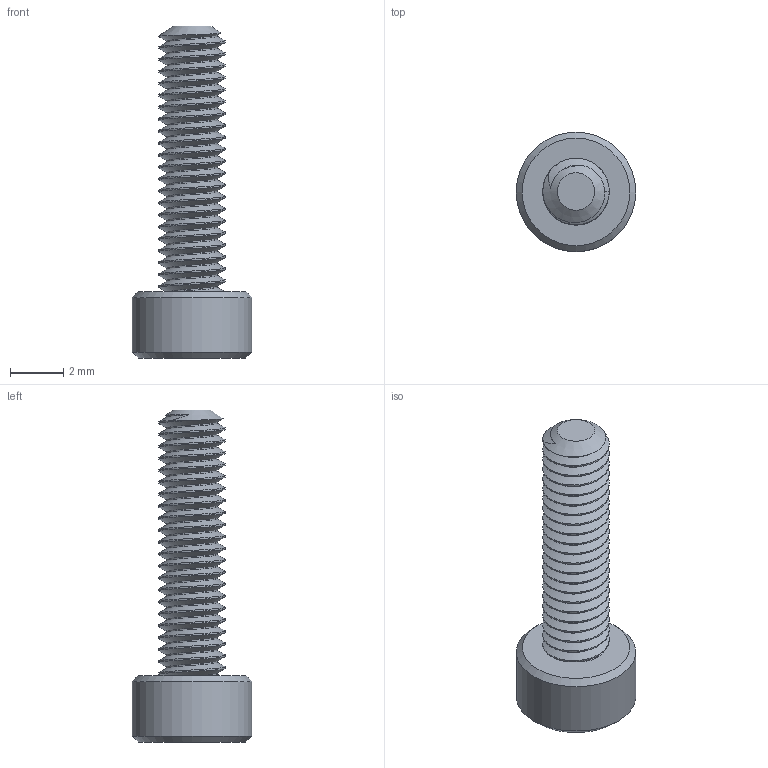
import cadquery as cq
import math

head_diameter = 4.5
head_height = 2.5
head_chamfer = 0.225

thread_diameter = 2.5
thread_length = 10.0
pitch = 0.45
root_diameter = 1.92
crest_flat = pitch / 8
half_flank_angle = math.radians(30)

tip_diameter = 1.41
tip_chamfer_angle = math.radians(35)

groove_phase = 0.185
overrun_turns = 1
cutter_clearance = 0.02


def make_head():
    head = cq.Workplane("XY").circle(head_diameter / 2).extrude(head_height)
    return head.faces("<Z or >Z").chamfer(head_chamfer)


def make_shank():
    """Plain cylinder on the head face, coned down at the free end."""
    radius = thread_diameter / 2
    tip_radius = tip_diameter / 2
    tip_height = (radius - tip_radius) * math.tan(tip_chamfer_angle)
    end_z = head_height + thread_length
    return (
        cq.Workplane("XZ")
        .moveTo(0, head_height)
        .lineTo(radius, head_height)
        .lineTo(radius, end_z - tip_height)
        .lineTo(tip_radius, end_z)
        .lineTo(0, end_z)
        .close()
        .revolve(360, (0, 0, 0), (0, 1, 0))
    )


def helix_turn(radius, start_z):
    return cq.Wire.makeHelix(pitch, pitch, radius, cq.Vector(0, 0, start_z))


def end_cap(corners):
    return cq.Face.makeFromWires(cq.Wire.makePolygon(corners, close=True))


def make_groove_cutter():
    """Right-handed helical bar of trapezoid section: the space between threads.

    Its skin is built one turn at a time from ruled faces between the corner helices.
    """
    root_radius = root_diameter / 2
    outer_radius = thread_diameter / 2 + cutter_clearance
    flank_slope = math.tan(half_flank_angle)
    half_mouth = (pitch - crest_flat) / 2
    half_root = half_mouth - (thread_diameter - root_diameter) / 2 * flank_slope
    half_outer = half_mouth + cutter_clearance * flank_slope
    section = [
        (root_radius, -half_root),
        (outer_radius, -half_outer),
        (outer_radius, half_outer),
        (root_radius, half_root),
    ]

    first_z = head_height + groove_phase - overrun_turns * pitch
    turn_count = math.ceil(thread_length / pitch) + 2 * overrun_turns
    faces = []
    for turn in range(turn_count):
        turn_z = first_z + turn * pitch
        corners = [helix_turn(radius, turn_z + offset) for radius, offset in section]
        if turn == 0:
            faces.append(end_cap([corner.startPoint() for corner in corners]))
        for corner, next_corner in zip(corners, corners[1:] + corners[:1]):
            faces.append(cq.Face.makeRuledSurface(corner, next_corner))
    faces.append(end_cap([corner.endPoint() for corner in corners]))
    return cq.Solid.makeSolid(cq.Shell.makeShell(faces))


threaded_shank = make_shank().cut(cq.Workplane(make_groove_cutter()))
result = make_head().union(threaded_shank)